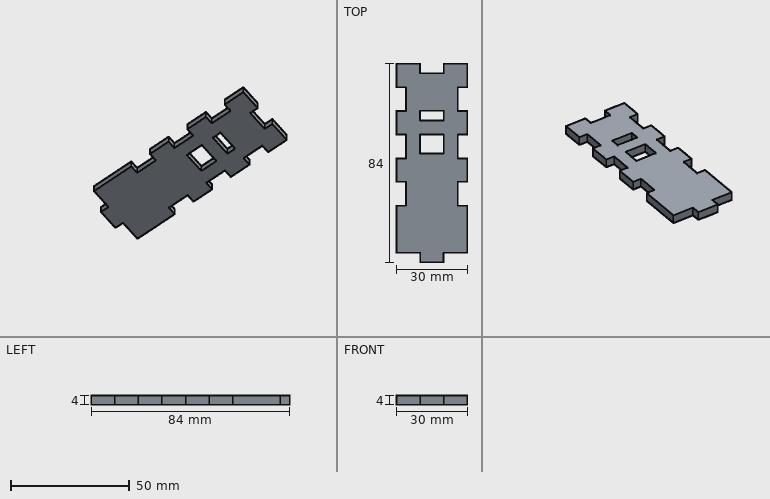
import cadquery as cq

pitch = 10.0
thickness = 4.0
window_length = 8.0

width = 3 * pitch
body_length = 8 * pitch
length = body_length + thickness
top = length / 2
bottom = top - body_length


def block(x_centre, y_upper, x_size, y_size):
    """Full-thickness block whose +Y face lies at y_upper."""
    return (
        cq.Workplane("XY")
        .box(x_size, y_size, thickness)
        .translate((x_centre, y_upper - y_size / 2, 0))
    )


result = block(0, top, width, body_length)
result = result.union(block(0, bottom, pitch, thickness))
result = result.cut(block(0, top, pitch, thickness))

notch_x = (width - thickness) / 2
for pitches_from_top in (1, 3, 5):
    for side in (-1, 1):
        notch = block(side * notch_x, top - pitches_from_top * pitch, thickness, pitch)
        result = result.cut(notch)

result = result.cut(block(0, top - 2 * pitch, pitch, thickness))
result = result.cut(block(0, top - 3 * pitch, pitch, window_length))